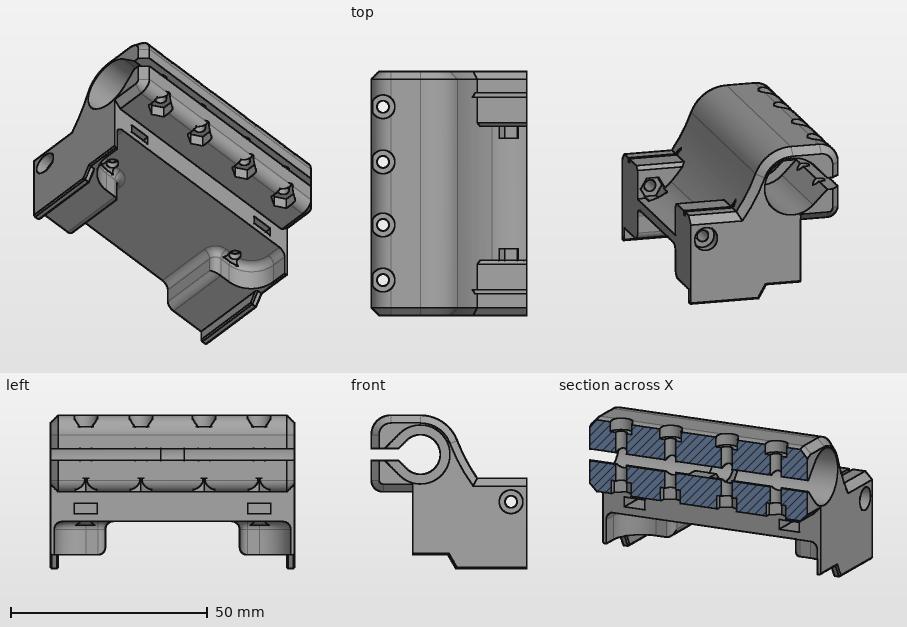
import math

import cadquery as cq

LENGTH = 62.0
HALF_LENGTH = LENGTH / 2

TOP_Z = 10.0
BOTTOM_Z = -29.0
JAW_X = -12.5
BACK_X = 27.0
WALL_X = -2.0
JAW_BOTTOM_Z = -9.5
UPPER_JAW_RADIUS = 5.0
LOWER_JAW_RADIUS = 3.0
BLOCK_TOP_Z = -6.0
LEG_STEP_Z = -25.5
LEG_STEP_X = 7.0
LEG_STEP_RUN = 2.0
END_CHAMFER = 2.0
LEG_CHAMFER = 0.4

DOME_RADIUS = TOP_Z
DOME_END_ANGLE = math.radians(21)
FLANK_RADIUS = 45.0
SADDLE_RADIUS = 12.0

BORE_RADIUS = 7.5
WEB_BORE_RADIUS = 5.0
WEB_WIDTH = 6.0
SLIT_HEIGHT = 3.0

SCREW_DIAMETER = 3.0
HEAD_DIAMETER = 6.0
NUT_FLATS = 5.5
NUT_CORNERS = NUT_FLATS / math.cos(math.pi / 6)
CLAMP_SCREW_X = -9.5
CLAMP_SCREW_YS = (-22.0, -8.0, 8.0, 22.0)
CLAMP_HEAD_SEAT_Z = 7.0
CLAMP_NUT_SEAT_Z = -6.0

BLOCK_WIDTH = 14.0
BLOCK_INNER_Y = HALF_LENGTH - BLOCK_WIDTH
BLOCK_CHAMFER = 1.0
PIVOT_X = 23.0
PIVOT_Z = -12.0
PIVOT_HEAD_DEPTH = 3.0
PIVOT_NUT_DEPTH = 2.5
PIVOT_NUT_RELIEF = 3.0
GROOVE_OUTER_Y = HALF_LENGTH - 5.5
GROOVE_WIDTH = 1.1
GROOVE_DEPTH = 1.0
GROOVE_OUTER_X = 13.9
GROOVE_INNER_X = 13.2

CEILING_Z = -17.0
CEILING_FILLET = 2.0
LEG_THICKNESS = 1.0
FOOT_THICKNESS = 2.0
SCOOP_RADIUS = 8.0
BLOCK_FACE_X = 10.0
BLOCK_CORNER_RADIUS = 2.0
BLOCK_BOTTOM_RADIUS = 2.0

UPRIGHT_SCREW_X = 7.8
UPRIGHT_SCREW_Y = 22.0
UPRIGHT_HEAD_HEIGHT = 1.0
NUT_SLOT_WIDTH = 5.8
NUT_SLOT_TOP_Z = -12.4
NUT_SLOT_HEIGHT = 2.6

CLEARANCE = 1.0


def polar(center, radius, angle):
    return (center[0] + radius * math.cos(angle), center[1] + radius * math.sin(angle))


DOME_END = polar((0, 0), DOME_RADIUS, DOME_END_ANGLE)
FLANK_CENTER = polar((0, 0), DOME_RADIUS + FLANK_RADIUS, DOME_END_ANGLE)
FLANK_START_ANGLE = DOME_END_ANGLE + math.pi
FLANK_END_ANGLE = 2 * math.pi - math.acos((BACK_X - FLANK_CENTER[0]) / (FLANK_RADIUS - SADDLE_RADIUS))
BLOCK_TOP_ANGLE = math.pi + math.asin((FLANK_CENTER[1] - BLOCK_TOP_Z) / FLANK_RADIUS)
SADDLE_CENTER = polar(FLANK_CENTER, FLANK_RADIUS - SADDLE_RADIUS, FLANK_END_ANGLE)


def flank_point(angle):
    return polar(FLANK_CENTER, FLANK_RADIUS, angle)


def extrude_along_y(profile, half_length):
    return profile.extrude(half_length, both=True)


def make_body():
    """Full-length prism with chamfered ends."""
    diagonal = math.sqrt(0.5)
    upper_x = JAW_X + UPPER_JAW_RADIUS
    upper_z = TOP_Z - UPPER_JAW_RADIUS
    lower_x = JAW_X + LOWER_JAW_RADIUS
    lower_z = JAW_BOTTOM_Z + LOWER_JAW_RADIUS
    profile = (
        cq.Workplane("XZ")
        .moveTo(JAW_X, lower_z)
        .lineTo(JAW_X, upper_z)
        .threePointArc(
            (upper_x - UPPER_JAW_RADIUS * diagonal, upper_z + UPPER_JAW_RADIUS * diagonal), (upper_x, TOP_Z)
        )
        .lineTo(0, TOP_Z)
        .threePointArc(polar((0, 0), DOME_RADIUS, (math.pi / 2 + DOME_END_ANGLE) / 2), DOME_END)
        .threePointArc(flank_point((FLANK_START_ANGLE + BLOCK_TOP_ANGLE) / 2), flank_point(BLOCK_TOP_ANGLE))
        .lineTo(BACK_X, BLOCK_TOP_Z)
        .lineTo(BACK_X, BOTTOM_Z)
        .lineTo(LEG_STEP_X + LEG_STEP_RUN, BOTTOM_Z)
        .lineTo(LEG_STEP_X, LEG_STEP_Z)
        .lineTo(WALL_X, LEG_STEP_Z)
        .lineTo(WALL_X, JAW_BOTTOM_Z)
        .lineTo(lower_x, JAW_BOTTOM_Z)
        .threePointArc(
            (lower_x - LOWER_JAW_RADIUS * diagonal, lower_z - LOWER_JAW_RADIUS * diagonal), (JAW_X, lower_z)
        )
        .close()
    )
    body = extrude_along_y(profile, HALF_LENGTH)
    clamp_zone = cq.selectors.BoxSelector(
        (JAW_X - CLEARANCE, -LENGTH, JAW_BOTTOM_Z - CLEARANCE),
        (BACK_X - CLEARANCE, LENGTH, TOP_Z + CLEARANCE),
    )
    return body.faces("<Y or >Y").edges(clamp_zone).chamfer(END_CHAMFER)


def make_saddle_cut():
    """Space above the saddle between the end blocks, flared by the chamfers on the blocks."""
    flank_end = flank_point(FLANK_END_ANGLE)
    saddle_bottom = (BACK_X, SADDLE_CENTER[1] - SADDLE_RADIUS)
    saddle_mid_angle = (FLANK_END_ANGLE + 3 * math.pi / 2) / 2
    above_saddle = extrude_along_y(
        cq.Workplane("XZ")
        .moveTo(*DOME_END)
        .threePointArc(flank_point((FLANK_START_ANGLE + FLANK_END_ANGLE) / 2), flank_end)
        .threePointArc(polar(SADDLE_CENTER, SADDLE_RADIUS, saddle_mid_angle), saddle_bottom)
        .lineTo(BACK_X + CLEARANCE, saddle_bottom[1])
        .lineTo(BACK_X + CLEARANCE, DOME_END[1])
        .close(),
        HALF_LENGTH,
    )
    between_blocks = (
        cq.Workplane("YZ")
        .moveTo(BLOCK_INNER_Y, CEILING_Z)
        .lineTo(BLOCK_INNER_Y, BLOCK_TOP_Z - BLOCK_CHAMFER)
        .lineTo(BLOCK_INNER_Y + BLOCK_CHAMFER, BLOCK_TOP_Z)
        .lineTo(0, BLOCK_TOP_Z + BLOCK_INNER_Y + BLOCK_CHAMFER)
        .lineTo(-BLOCK_INNER_Y - BLOCK_CHAMFER, BLOCK_TOP_Z)
        .lineTo(-BLOCK_INNER_Y, BLOCK_TOP_Z - BLOCK_CHAMFER)
        .lineTo(-BLOCK_INNER_Y, CEILING_Z)
        .close()
        .extrude(BACK_X + CLEARANCE)
    )
    return above_saddle.intersect(between_blocks)


def make_bore_cut(radius, half_length):
    """Bore opening into the slit through two 45 degree tangent faces."""
    slit_z = SLIT_HEIGHT / 2
    tangent = radius * math.sqrt(0.5)
    mouth_x = slit_z - 2 * tangent
    profile = (
        cq.Workplane("XZ")
        .moveTo(JAW_X - CLEARANCE, slit_z)
        .lineTo(mouth_x, slit_z)
        .lineTo(-tangent, tangent)
        .threePointArc((radius, 0), (-tangent, -tangent))
        .lineTo(mouth_x, -slit_z)
        .lineTo(JAW_X - CLEARANCE, -slit_z)
        .close()
    )
    return extrude_along_y(profile, half_length)


def make_underside_cut():
    """Space below the ceiling: between the end blocks and scooped out behind each leg."""
    leg_y = HALF_LENGTH - LEG_THICKNESS
    scoop_x = BLOCK_FACE_X - SCOOP_RADIUS
    scoop_y = leg_y - SCOOP_RADIUS
    corner_x = BLOCK_FACE_X + BLOCK_CORNER_RADIUS
    corner_y = BLOCK_INNER_Y + BLOCK_CORNER_RADIUS
    front_x = WALL_X - 2 * CEILING_FILLET
    rear_x = BACK_X + 2 * CEILING_FILLET
    half = (
        cq.Workplane("XY", origin=(0, 0, CEILING_Z))
        .moveTo(front_x, 0)
        .lineTo(front_x, leg_y)
        .lineTo(scoop_x, leg_y)
        .threePointArc(polar((scoop_x, scoop_y), SCOOP_RADIUS, math.pi / 4), (BLOCK_FACE_X, scoop_y))
        .lineTo(BLOCK_FACE_X, corner_y)
        .threePointArc(
            polar((corner_x, corner_y), BLOCK_CORNER_RADIUS, 5 * math.pi / 4), (corner_x, BLOCK_INNER_Y)
        )
        .lineTo(rear_x, BLOCK_INNER_Y)
        .lineTo(rear_x, 0)
        .close()
        .extrude(BOTTOM_Z - CLEARANCE - CEILING_Z)
    )
    wall_edges = cq.selectors.BoxSelector(
        (front_x + CLEARANCE, CLEARANCE, CEILING_Z - CLEARANCE),
        (rear_x - CLEARANCE, LENGTH, CEILING_Z + CLEARANCE),
    )
    half = half.faces(">Z").edges(wall_edges).fillet(CEILING_FILLET)
    return half.union(half.mirror("XZ"))


def make_foot_cut():
    """Space below the end blocks, leaving a foot under each end, and rounding the blocks."""
    foot_y = HALF_LENGTH - FOOT_THICKNESS
    profile = (
        cq.Workplane("YZ", origin=(WALL_X, 0, 0))
        .moveTo(0, BOTTOM_Z)
        .lineTo(foot_y, BOTTOM_Z)
        .lineTo(foot_y, LEG_STEP_Z)
        .lineTo(BLOCK_INNER_Y + BLOCK_BOTTOM_RADIUS, LEG_STEP_Z)
        .radiusArc((BLOCK_INNER_Y, LEG_STEP_Z + BLOCK_BOTTOM_RADIUS), BLOCK_BOTTOM_RADIUS)
        .lineTo(0, LEG_STEP_Z + BLOCK_BOTTOM_RADIUS)
        .close()
    )
    half = profile.extrude(BACK_X - WALL_X)
    return half.union(half.mirror("XZ"))


def chamfer_legs(body):
    """Chamfer the outer bottom edges of both end faces."""
    bottom_zone = cq.selectors.BoxSelector(
        (WALL_X - CLEARANCE, -LENGTH, BOTTOM_Z - CLEARANCE),
        (BACK_X - CLEARANCE, LENGTH, LEG_STEP_Z + CLEARANCE),
    )
    return body.faces("<Y or >Y").edges(bottom_zone).chamfer(LEG_CHAMFER)


def chamfer_feet(body):
    """Chamfer the inner edges of both feet."""
    foot_y = HALF_LENGTH - FOOT_THICKNESS
    foot_zone = cq.selectors.BoxSelector(
        (LEG_STEP_X, -foot_y - LEG_CHAMFER, BOTTOM_Z - CLEARANCE),
        (BACK_X - CLEARANCE, foot_y + LEG_CHAMFER, LEG_STEP_Z - CLEARANCE),
    )
    return body.edges(foot_zone).chamfer(LEG_CHAMFER)


def hexagon(workplane, depth):
    return workplane.polygon(6, NUT_CORNERS).extrude(depth)


def cylinder_z(x, y, diameter, z_low, z_high):
    return cq.Workplane("XY", origin=(x, y, z_low)).circle(diameter / 2).extrude(z_high - z_low)


def make_clamp_screw_cut(y):
    """Head seat in the upper jaw, screw hole through both jaws, nut trap under the lower jaw."""
    hole = cylinder_z(CLAMP_SCREW_X, y, SCREW_DIAMETER, JAW_BOTTOM_Z, TOP_Z)
    head = cylinder_z(CLAMP_SCREW_X, y, HEAD_DIAMETER, CLAMP_HEAD_SEAT_Z, TOP_Z)
    trap_plane = cq.Workplane("XY", origin=(CLAMP_SCREW_X, y, JAW_BOTTOM_Z))
    trap = hexagon(trap_plane, CLAMP_NUT_SEAT_Z - JAW_BOTTOM_Z)
    return hole.union(head).union(trap)


def make_pivot_cut():
    """Counterbored cross hole in the +Y block, with a nut trap that runs on into the saddle."""

    def workplane(y):
        return cq.Workplane("XZ", origin=(PIVOT_X, y, PIVOT_Z))

    hole = workplane(HALF_LENGTH).circle(SCREW_DIAMETER / 2).extrude(BLOCK_WIDTH)
    head = workplane(HALF_LENGTH).circle(HEAD_DIAMETER / 2).extrude(PIVOT_HEAD_DEPTH)
    nut = hexagon(workplane(BLOCK_INNER_Y + PIVOT_NUT_DEPTH), PIVOT_NUT_DEPTH + PIVOT_NUT_RELIEF)
    return hole.union(head).union(nut)


def make_groove_cut():
    """Narrow groove across the top of the +Y block, with a slanted end in the flank."""
    inner_y = GROOVE_OUTER_Y - GROOVE_WIDTH
    return (
        cq.Workplane("XY", origin=(0, 0, BLOCK_TOP_Z - GROOVE_DEPTH))
        .moveTo(GROOVE_OUTER_X, GROOVE_OUTER_Y)
        .lineTo(BACK_X, GROOVE_OUTER_Y)
        .lineTo(BACK_X, inner_y)
        .lineTo(GROOVE_INNER_X, inner_y)
        .close()
        .extrude(TOP_Z - BLOCK_TOP_Z)
    )


def make_upright_screw_cut():
    """Nut slot in the front wall, screw hole up to it and a conical head recess in the ceiling fillet."""
    slot_length = UPRIGHT_SCREW_X + NUT_SLOT_WIDTH / 2 - WALL_X
    slot = (
        cq.Workplane("XY", origin=(WALL_X, UPRIGHT_SCREW_Y, NUT_SLOT_TOP_Z - NUT_SLOT_HEIGHT))
        .box(slot_length, NUT_SLOT_WIDTH, NUT_SLOT_HEIGHT, centered=(False, True, False))
    )
    hole = cylinder_z(UPRIGHT_SCREW_X, UPRIGHT_SCREW_Y, SCREW_DIAMETER, CEILING_Z, NUT_SLOT_TOP_Z)
    head = (
        cq.Workplane("XY", origin=(UPRIGHT_SCREW_X, UPRIGHT_SCREW_Y, CEILING_Z))
        .circle(SCREW_DIAMETER / 2)
        .workplane(offset=-UPRIGHT_HEAD_HEIGHT)
        .circle(HEAD_DIAMETER / 2)
        .loft()
    )
    return slot.union(hole).union(head)


result = chamfer_legs(make_body())
result = result.cut(make_saddle_cut())
result = result.cut(make_bore_cut(WEB_BORE_RADIUS, HALF_LENGTH))
wide_bore_length = (LENGTH - WEB_WIDTH) / 2
wide_bore_y = (WEB_WIDTH + wide_bore_length) / 2
wide_bore = make_bore_cut(BORE_RADIUS, wide_bore_length / 2)
for bore_y in (-wide_bore_y, wide_bore_y):
    result = result.cut(wide_bore.translate((0, bore_y, 0)))
result = result.cut(make_underside_cut())
result = chamfer_feet(result.cut(make_foot_cut()))
for screw_y in CLAMP_SCREW_YS:
    result = result.cut(make_clamp_screw_cut(screw_y))
for end_cut in (make_pivot_cut(), make_groove_cut(), make_upright_screw_cut()):
    result = result.cut(end_cut).cut(end_cut.mirror("XZ"))